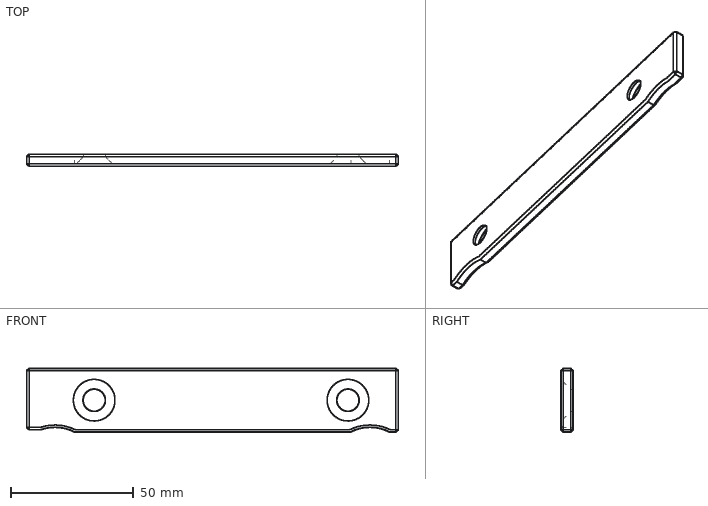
import cadquery as cq
import math

length = 151.8
thickness = 5.0
height = 26.0
edge_chamfer = 1.0

left_x = -length / 2
right_x = length / 2
top_z = height / 2
bottom_z = -height / 2
front_y = -thickness / 2
back_y = thickness / 2

left_foot_rise = 0.9
left_foot_z = bottom_z + left_foot_rise

relief_x = 64.3
relief_radius = 17.5
relief_depth = 1.9
relief_top_z = bottom_z + relief_depth
relief_center_z = relief_top_z - relief_radius

left_hole_x = -48.3
right_hole_x = 55.3
hole_diameter = 9.0
sink_diameter = 17.0
sink_angle = 90.0


def relief_half_width(z):
    """Half the width of a relief arc at height z."""
    return math.sqrt(relief_radius**2 - (z - relief_center_z) ** 2)


def make_blank():
    """Extrude the plate outline, with both reliefs, through the thickness."""
    half_width = relief_half_width(bottom_z)
    foot_half_width = relief_half_width(left_foot_z)
    return (
        cq.Workplane("XZ", origin=(0, back_y, 0))
        .moveTo(left_x, top_z)
        .lineTo(left_x, left_foot_z)
        .lineTo(-relief_x - foot_half_width, left_foot_z)
        .threePointArc((-relief_x, relief_top_z), (-relief_x + half_width, bottom_z))
        .lineTo(relief_x - half_width, bottom_z)
        .threePointArc((relief_x, relief_top_z), (relief_x + half_width, bottom_z))
        .lineTo(right_x, bottom_z)
        .lineTo(right_x, top_z)
        .close()
        .extrude(thickness)
    )


def chamfer_edges(plate):
    """Break the whole rim of both large faces and the four corners of the outline."""
    rims = plate.faces("<Y or >Y").edges()
    corners = plate.faces("<X or >X").edges("|Y")
    return plate.newObject(rims.vals() + corners.vals()).chamfer(edge_chamfer)


def sink_holes(plate):
    """Drill the two countersunk through holes."""
    return (
        plate.copyWorkplane(cq.Workplane("XZ", origin=(0, front_y, 0)))
        .pushPoints([(left_hole_x, 0), (right_hole_x, 0)])
        .cskHole(hole_diameter, sink_diameter, sink_angle)
    )


result = sink_holes(chamfer_edges(make_blank()))